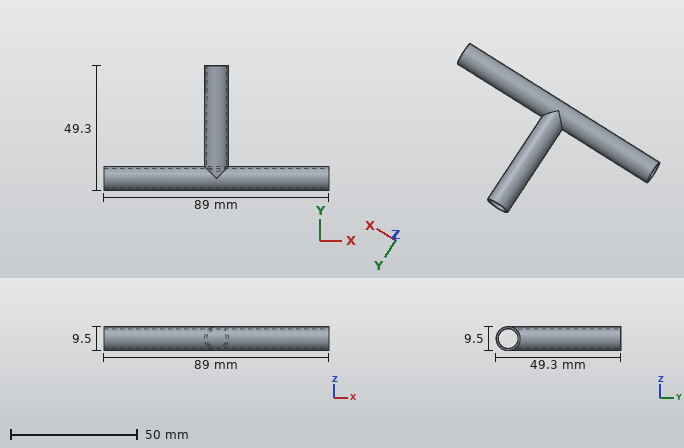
import cadquery as cq

run_length = 89.0
outer_diameter = 9.5
bore_diameter = 7.7
overall_depth = 49.3

branch_reach = overall_depth - outer_diameter / 2


def run_cylinder(diameter):
    """Solid cylinder along X, centred on the origin."""
    return (
        cq.Workplane("YZ", origin=(-run_length / 2, 0, 0))
        .circle(diameter / 2)
        .extrude(run_length)
    )


def make_run_tube():
    """Straight tube along X, open at both ends."""
    return run_cylinder(outer_diameter).cut(run_cylinder(bore_diameter))


def make_branch_tube():
    """Tube along +Y, its inner end coped to sit on the outside of the run tube."""
    tube = (
        cq.Workplane("XZ")
        .circle(outer_diameter / 2)
        .circle(bore_diameter / 2)
        .extrude(-branch_reach)
    )
    return tube.cut(run_cylinder(outer_diameter))


run_tube = make_run_tube()
branch_tube = make_branch_tube()

result = cq.Compound.makeCompound([run_tube.solids().val(), branch_tube.solids().val()])